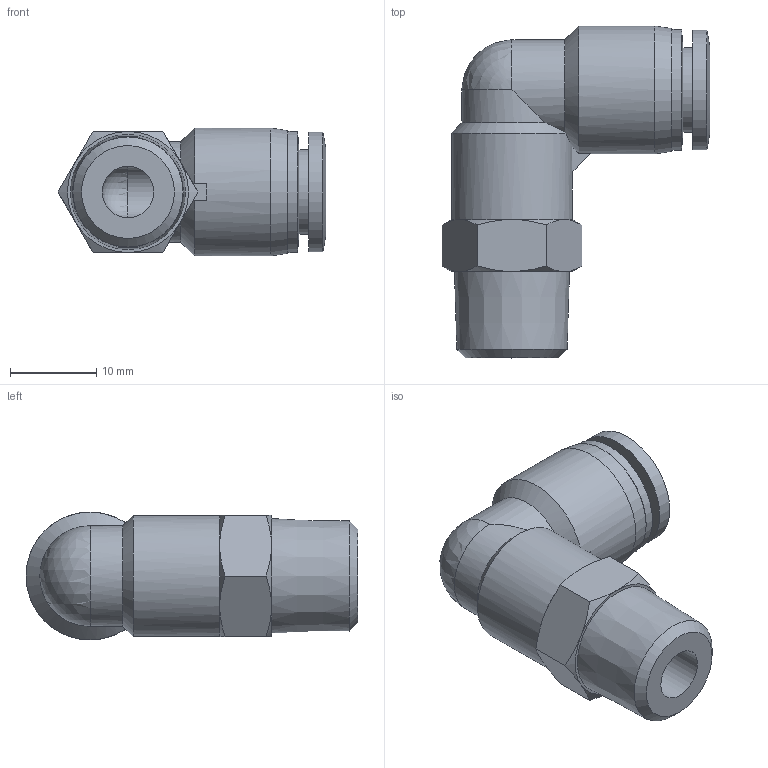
import cadquery as cq
import math

ELBOW_RADIUS = 5.8
BORE_RADIUS = 3.0

COLLAR_RADIUS = 7.0
COLLAR_START = 5.0
HEX_START = 15.0
HEX_LENGTH = 6.0
HEX_ACROSS_FLATS = 14.0
HEX_CHAMFER_ANGLE = 30.0
THREAD_LENGTH = 10.0
THREAD_CHAMFER = 1.0
THREAD_TIP_RADIUS = 6.37
THREAD_TAPER = 1 / 16

SLEEVE_RADIUS = 7.4
SLEEVE_START = 7.7
SHOULDER_START = 16.5
SHOULDER_END = 18.5
SHOULDER_END_RADIUS = 7.1
SLEEVE_TIP_RADIUS = 7.0
SLEEVE_END = 19.78
SLEEVE_END_SLOPE = 0.15
NECK_RADIUS = 4.9
RING_START = 20.93
RING_RADIUS = 6.9
RING_EDGE = 22.55
RING_FACE_RADIUS = 5.0
TUBE_LEG_END = 22.9

GUSSET_THICKNESS = 2.0
GUSSET_REACH = 16.45

HEX_END = HEX_START + HEX_LENGTH
THREAD_END = HEX_END + THREAD_LENGTH


def make_threaded_leg():
    """Round stem, collar and tapered thread turned about the Y axis."""
    thread_chamfer_start = THREAD_END - THREAD_CHAMFER
    thread_root_radius = THREAD_TIP_RADIUS + (thread_chamfer_start - HEX_END) * THREAD_TAPER / 2
    collar_cone_start = COLLAR_START - (COLLAR_RADIUS - ELBOW_RADIUS)
    profile = (
        cq.Workplane("XY")
        .lineTo(ELBOW_RADIUS, 0)
        .lineTo(ELBOW_RADIUS, -collar_cone_start)
        .lineTo(COLLAR_RADIUS, -COLLAR_START)
        .lineTo(COLLAR_RADIUS, -HEX_END)
        .lineTo(thread_root_radius, -HEX_END)
        .lineTo(THREAD_TIP_RADIUS, -thread_chamfer_start)
        .lineTo(THREAD_TIP_RADIUS - THREAD_CHAMFER, -THREAD_END)
        .lineTo(0, -THREAD_END)
        .close()
    )
    return profile.revolve(360, (0, 0), (0, 1))


def make_hexagon():
    """Wrench hexagon with corners on +-X and its corners turned off conically at both ends."""
    corner_radius = HEX_ACROSS_FLATS / 2 / math.cos(math.pi / 6)
    flat_radius = HEX_ACROSS_FLATS / 2
    drop = (corner_radius - flat_radius) * math.tan(math.radians(HEX_CHAMFER_ANGLE))
    prism = (
        cq.Workplane("XZ", origin=(0, -HEX_START, 0))
        .polygon(6, 2 * corner_radius)
        .extrude(HEX_LENGTH)
    )
    envelope = (
        cq.Workplane("XY")
        .moveTo(0, -HEX_START)
        .lineTo(flat_radius, -HEX_START)
        .lineTo(corner_radius, -HEX_START - drop)
        .lineTo(corner_radius, -HEX_END + drop)
        .lineTo(flat_radius, -HEX_END)
        .lineTo(0, -HEX_END)
        .close()
        .revolve(360, (0, -HEX_START), (0, -HEX_END))
    )
    return prism.intersect(envelope)


def make_tube_leg():
    """Stem, sleeve and release ring turned about the X axis."""
    sleeve_cone_start = SLEEVE_START - (SLEEVE_RADIUS - ELBOW_RADIUS)
    profile = (
        cq.Workplane("XY")
        .lineTo(0, ELBOW_RADIUS)
        .lineTo(sleeve_cone_start, ELBOW_RADIUS)
        .lineTo(SLEEVE_START, SLEEVE_RADIUS)
        .lineTo(SHOULDER_START, SLEEVE_RADIUS)
        .lineTo(SHOULDER_END, SHOULDER_END_RADIUS)
        .lineTo(SHOULDER_END, SLEEVE_TIP_RADIUS)
        .lineTo(SLEEVE_END - SLEEVE_END_SLOPE, SLEEVE_TIP_RADIUS)
        .lineTo(SLEEVE_END, NECK_RADIUS)
        .lineTo(RING_START, NECK_RADIUS)
        .lineTo(RING_START, RING_RADIUS)
        .lineTo(RING_EDGE, RING_RADIUS)
        .lineTo(TUBE_LEG_END, RING_FACE_RADIUS)
        .lineTo(TUBE_LEG_END, 0)
        .close()
    )
    return profile.revolve(360, (0, 0), (1, 0))


def make_gusset():
    """Triangular web filling the inner corner between the legs."""
    return (
        cq.Workplane("XY")
        .lineTo(GUSSET_REACH, 0)
        .lineTo(0, -GUSSET_REACH)
        .close()
        .extrude(GUSSET_THICKNESS / 2, both=True)
    )


def make_bore():
    """Flow passage through both legs with a ball-shaped turn."""
    turn = cq.Workplane("XY").sphere(BORE_RADIUS)
    thread_bore = cq.Workplane("XZ").circle(BORE_RADIUS).extrude(THREAD_END)
    tube_bore = cq.Workplane("YZ").circle(BORE_RADIUS).extrude(TUBE_LEG_END)
    return turn.union(thread_bore).union(tube_bore)


elbow_ball = cq.Workplane("XY").sphere(ELBOW_RADIUS)
body = elbow_ball.union(make_threaded_leg()).union(make_tube_leg())
body = body.union(make_hexagon()).union(make_gusset())
result = body.cut(make_bore())